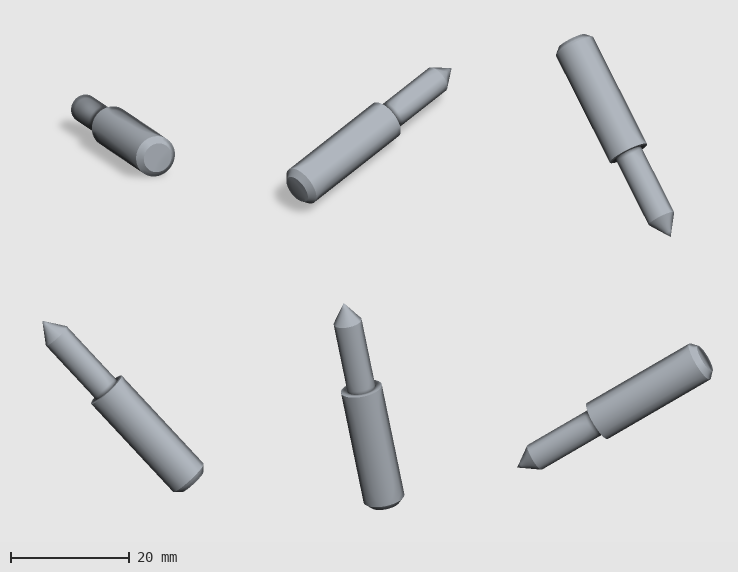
import cadquery as cq

total_length = 37.5
body_diameter = 7.0
shank_diameter = 4.8
tip_length = 3.52
shoulder_distance = 16.0
chamfer = 1.0

body_radius = body_diameter / 2
shank_radius = shank_diameter / 2
body_length = total_length - shoulder_distance
point_x = -total_length / 2
tip_base_x = point_x + tip_length
shoulder_x = point_x + shoulder_distance


def make_point_and_shank():
    """Revolve the conical point and the slim shank about the X axis."""
    half_profile = (
        cq.Workplane("XY")
        .moveTo(point_x, 0)
        .lineTo(tip_base_x, shank_radius)
        .lineTo(shoulder_x, shank_radius)
        .lineTo(shoulder_x, 0)
        .close()
    )
    return half_profile.revolve(360, (0, 0, 0), (1, 0, 0))


def make_body():
    """Make the thick body, chamfered at the end away from the point."""
    body = cq.Workplane("YZ", origin=(shoulder_x, 0, 0)).circle(body_radius).extrude(body_length)
    return body.faces(">X").chamfer(chamfer)


result = make_body().union(make_point_and_shank())